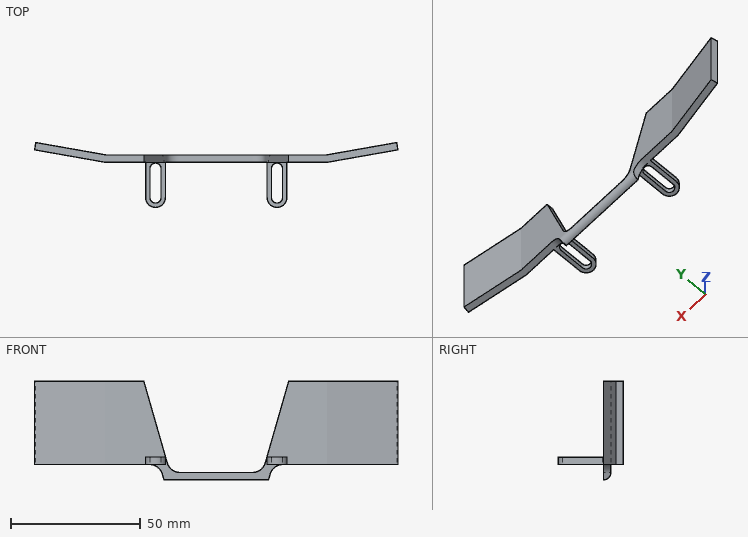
import cadquery as cq
import math

half_length = 70.4
total_height = 38.3
thickness = 3.0
bend_x = 43.0
wing_angle = math.radians(10)

wing_bottom = 5.9
bridge_height = 3.0
notch_half_top = 28.0
notch_half_bottom = 17.9
bridge_half_bottom = 20.3
corner_radius = 4.9
bridge_edge_radius = 2.8

lug_center_x = 23.5
lug_width = 7.7
lug_reach = 17.5
lug_height = 3.0
slot_width = 4.2
lug_rim = (lug_width - slot_width) / 2
slot_back_gap = 0.3

notch_slope = (notch_half_top - notch_half_bottom) / (total_height - bridge_height)
bridge_half_top = bridge_half_bottom + notch_slope * wing_bottom


def mirrored(points):
    """Complete a right-hand chain of points with its reflection in X."""
    return points + [(-x, v) for x, v in reversed(points)]


def bent_plate():
    """Full-height plate whose outer ends are bent backward."""
    tip_front_y = (half_length - bend_x) * math.tan(wing_angle)
    tip_back_x = half_length - thickness * math.sin(wing_angle)
    tip_back_y = tip_front_y + thickness * math.cos(wing_angle)
    back_bend_x = bend_x - thickness * math.tan(wing_angle / 2)
    half_outline = [
        (bend_x, 0),
        (half_length, tip_front_y),
        (tip_back_x, tip_back_y),
        (back_bend_x, thickness),
    ]
    return cq.Workplane("XY").polyline(mirrored(half_outline)).close().extrude(total_height)


def front_silhouette():
    """Prism of the wings joined by the bridge, with rounded notch corners."""
    half_outline = [
        (bridge_half_bottom, 0),
        (bridge_half_top, wing_bottom),
        (half_length, wing_bottom),
        (half_length, total_height),
        (notch_half_top, total_height),
        (notch_half_bottom, bridge_height),
    ]
    depth = half_length
    prism = (
        cq.Workplane("XZ", origin=(0, depth / 2, 0))
        .polyline(mirrored(half_outline)).close().extrude(depth)
    )
    for x, z in ((bridge_half_top, wing_bottom), (notch_half_bottom, bridge_height)):
        for side in (-1, 1):
            corner = cq.selectors.NearestToPointSelector((side * x, 0, z))
            prism = prism.edges("|Y").edges(corner).fillet(corner_radius)
    return prism


def slotted_lug(center_x):
    """Forward lug with a rounded end and a concentric through slot."""
    end_radius = lug_width / 2
    end_center_y = end_radius - lug_reach
    slot_front = lug_rim - lug_reach
    slot_length = -slot_back_gap - slot_front
    slot_center_y = slot_front + slot_length / 2
    base = cq.Workplane("XY", origin=(center_x, 0, wing_bottom))
    body = (
        base.moveTo(-end_radius, 0)
        .lineTo(-end_radius, end_center_y)
        .threePointArc((0, -lug_reach), (end_radius, end_center_y))
        .lineTo(end_radius, 0)
        .close().extrude(lug_height)
    )
    slot = base.center(0, slot_center_y).slot2D(slot_length, slot_width, 90).extrude(lug_height)
    return body.cut(slot)


plate = bent_plate().intersect(front_silhouette())
plate = plate.faces("<Z").edges(">Y").fillet(bridge_edge_radius)

result = plate
for side in (-1, 1):
    result = result.union(slotted_lug(side * lug_center_x))